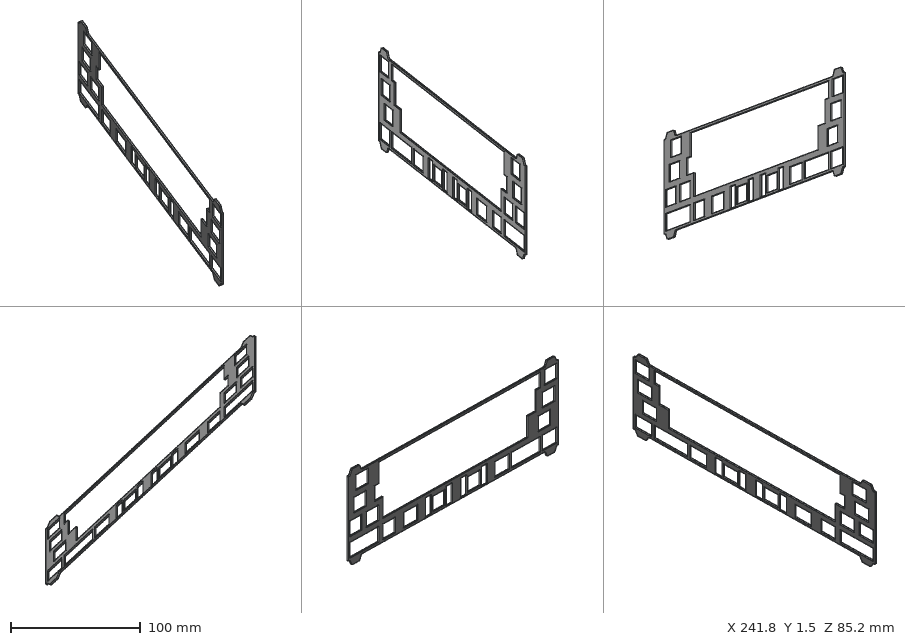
import cadquery as cq

KEY_PITCH = 19.05
SWITCH = 14.0
ROWS = 4
LAST_COLUMN = 11.75

THICKNESS = 1.5
MARGIN = 2.0
WIDTH = LAST_COLUMN * KEY_PITCH + SWITCH + 2 * MARGIN
HEIGHT = (ROWS - 1) * KEY_PITCH + SWITCH + 2 * MARGIN
CORNER_RADIUS = 0.5

TAB_HEIGHT = 5.0
TAB_BASE_START = 2.0
TAB_TOP_START = 4.5
TAB_TOP_END = 13.0
TAB_BASE_END = 15.25
TAB_TIP_RADIUS = 1.0
TAB_ROOT_RADIUS = 1.5

STABILIZER_OFFSET = 11.94
STABILIZER_WIDTH = 7.0
STABILIZER_ABOVE = 2.3
STABILIZER_BELOW = 1.5
STABILIZER_RADIUS = 0.5

SWITCH_CUTOUTS = [
    (0, 0.375, 0.375),
    (0, 11.75, 11.75),
    (1, 0.25, 0.25),
    (1, 11.625, 11.625),
    (2, 0, 0),
    (2, 1, 1),
    (2, 11.375, 11.375),
    (3, 0, 1),
    (3, 2, 2),
    (3, 3.25, 3.375),
    (3, 5, 5),
    (3, 7.125, 7.125),
    (3, 8.75, 8.875),
    (3, 9.75, 10.75),
    (3, 11.625, 11.75),
]
STABILIZED_COLUMNS = [5, 7.125]
STABILIZED_ROW = ROWS - 1


def left_of(column):
    """X of the left side of a switch cutout."""
    return column * KEY_PITCH - WIDTH / 2 + MARGIN


def right_of(column):
    """X of the right side of a switch cutout."""
    return left_of(column) + SWITCH


def top_of(row):
    """Z of the upper side of a switch cutout."""
    return HEIGHT / 2 - MARGIN - row * KEY_PITCH


def bottom_of(row):
    """Z of the lower side of a switch cutout."""
    return top_of(row) - SWITCH


def extrude_through(sketch):
    """Extrude an XZ sketch through the plate thickness, centred on Y = 0."""
    return sketch.extrude(THICKNESS / 2, both=True)


def box_between(left, right, bottom, top):
    """Block through the plate thickness with the given XZ limits."""
    sketch = cq.Workplane("XZ").center((left + right) / 2, (bottom + top) / 2)
    return extrude_through(sketch.rect(right - left, top - bottom))


def make_tab():
    """Tapered tab on the upper left of the plate."""
    end = -WIDTH / 2
    base = HEIGHT / 2
    tip = base + TAB_HEIGHT
    sketch = cq.Workplane("XZ").polyline([
        (end + TAB_BASE_START, base - MARGIN / 2),
        (end + TAB_BASE_START, base),
        (end + TAB_TOP_START, tip),
        (end + TAB_TOP_END, tip),
        (end + TAB_BASE_END, base),
        (end + TAB_BASE_END, base - MARGIN / 2),
    ]).close()
    return extrude_through(sketch)


def edges_at_height(body, height):
    """Thickness edges lying at +height or -height."""
    tolerance = 0.01
    return body.edges("|Y").filter(lambda edge: abs(abs(edge.Center().z) - height) < tolerance)


def make_blank():
    """Rounded plate with a tab near each corner, before any cutouts."""
    blank = box_between(-WIDTH / 2, WIDTH / 2, -HEIGHT / 2, HEIGHT / 2)
    blank = blank.edges("|Y").fillet(CORNER_RADIUS)
    upper_left = make_tab()
    upper_right = upper_left.mirror("YZ")
    for tab in (upper_left, upper_right):
        blank = blank.union(tab).union(tab.mirror("XY"))

    blank = edges_at_height(blank, HEIGHT / 2 + TAB_HEIGHT).fillet(TAB_TIP_RADIUS)

    corner_limit = WIDTH / 2 - (CORNER_RADIUS + TAB_BASE_START) / 2
    tab_roots = edges_at_height(blank, HEIGHT / 2).filter(
        lambda edge: abs(edge.Center().x) < corner_limit
    )
    return tab_roots.fillet(TAB_ROOT_RADIUS)


def make_window():
    """Stepped opening shared by the middle keys of the upper three rows."""
    outline = [
        (left_of(1.75), top_of(0)),
        (right_of(10.75), top_of(0)),
        (right_of(10.75), bottom_of(0)),
        (right_of(10.5), bottom_of(0)),
        (right_of(10.5), bottom_of(1)),
        (right_of(10), bottom_of(1)),
        (right_of(10), bottom_of(2)),
        (left_of(2), bottom_of(2)),
        (left_of(2), bottom_of(1)),
        (left_of(1.5), bottom_of(1)),
        (left_of(1.5), top_of(1)),
        (left_of(1.75), top_of(1)),
    ]
    return extrude_through(cq.Workplane("XZ").polyline(outline).close())


def make_stabilizer_slot(center):
    """Rounded slot centred on the given X."""
    slot = box_between(
        center - STABILIZER_WIDTH / 2,
        center + STABILIZER_WIDTH / 2,
        bottom_of(STABILIZED_ROW) - STABILIZER_BELOW,
        top_of(STABILIZED_ROW) + STABILIZER_ABOVE,
    )
    return slot.edges("|Y").fillet(STABILIZER_RADIUS)


result = make_blank().cut(make_window())

for row, first, last in SWITCH_CUTOUTS:
    result = result.cut(box_between(left_of(first), right_of(last), bottom_of(row), top_of(row)))

for column in STABILIZED_COLUMNS:
    switch_center = left_of(column) + SWITCH / 2
    for side in (-1, 1):
        result = result.cut(make_stabilizer_slot(switch_center + side * STABILIZER_OFFSET))